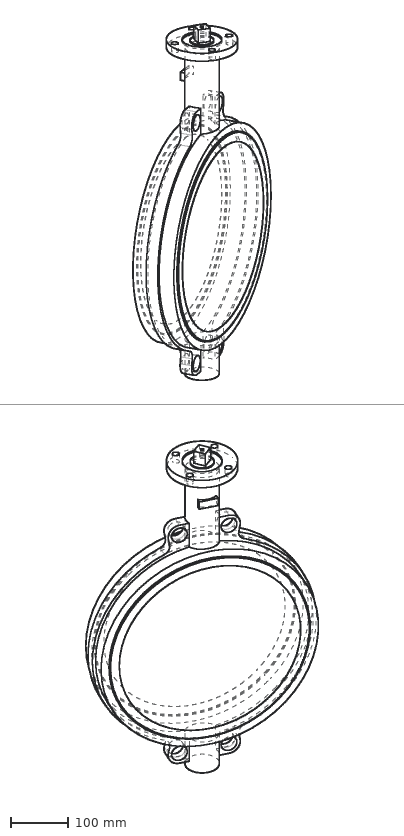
import math

import cadquery as cq

top_z = 391.5
overall_height = 659
bottom_z = top_z - overall_height

body_radius = 202.0
body_half_width = 39.5
rib_radius = 208.0
rib_width = 22.5

seat_radius = 185.0
seat_half_width = 41.0
groove_width = 2.0
groove_depth = 1.0
disc_radius = 169.0
disc_recess = 0.5

lug_hole_y = 46.0
lug_hole_z = 229.0
lug_hole_radius = 14.5
lug_radius = 21.0
lug_fillet = 16.0

neck_radius = 30.0
flange_radius = 62.5
flange_top_z = 368.0
flange_thickness = 15.0
bolt_circle_radius = 51.0
bolt_hole_radius = 6.0
bolt_count = 4
first_bolt_angle = 45
spigot_recess_radius = 35.0
spigot_recess_depth = 3.0

shaft_radius = 21.0
shaft_top_z = flange_top_z - 1.0
square_side = 22.5
square_turn = 45
centre_hole_radius = 2.5
centre_hole_depth = 3.0

pad_face_x = -33.5
pad_width = 35.0
pad_bottom_z = 290.5
pad_top_z = 306.0


def x_cylinder(radius, half_width):
    """Cylinder along X, centred on the origin."""
    return cq.Workplane("YZ").circle(radius).extrude(half_width, both=True)


def z_cylinder(radius, z_low, z_high):
    """Cylinder along the shaft axis between two heights."""
    return cq.Workplane("XY").workplane(offset=z_low).circle(radius).extrude(z_high - z_low)


def make_body():
    """Body with its middle rib, the seat liner and the slightly recessed disc."""
    body = x_cylinder(body_radius, body_half_width)
    body = body.union(x_cylinder(rib_radius, rib_width / 2))
    body = body.union(x_cylinder(seat_radius, seat_half_width))
    groove_half_width = body_half_width - groove_depth
    for side in (-1, 1):
        groove = (
            cq.Workplane("YZ", origin=(side * groove_half_width, 0, 0))
            .circle(seat_radius + groove_width)
            .circle(seat_radius)
            .extrude(side * groove_depth)
        )
        recess = (
            cq.Workplane("YZ", origin=(side * seat_half_width, 0, 0))
            .circle(disc_radius)
            .extrude(-side * disc_recess)
        )
        body = body.cut(groove).cut(recess)
    return body


def lug_outline():
    """One lug: flat top to the shaft axis, rounded end, radial flank filleted into the rib."""
    lean = math.atan2(lug_hole_y, lug_hole_z)
    hole_distance = math.hypot(lug_hole_y, lug_hole_z)

    def point(sideways, outward):
        """Point given along and across the radial line through the lug hole."""
        return (
            sideways * math.cos(lean) + outward * math.sin(lean),
            -sideways * math.sin(lean) + outward * math.cos(lean),
        )

    fillet_sideways = lug_radius + lug_fillet
    fillet_outward = math.sqrt((rib_radius + lug_fillet) ** 2 - fillet_sideways**2)
    rib_share = rib_radius / (rib_radius + lug_fillet)
    half_turn = math.atan2(fillet_outward, fillet_sideways) / 2
    fillet_middle = point(
        fillet_sideways - lug_fillet * math.cos(half_turn),
        fillet_outward - lug_fillet * math.sin(half_turn),
    )
    end_turn = (math.pi / 2 - lean) / 2
    end_middle = (
        lug_hole_y + lug_radius * math.cos(end_turn - lean),
        lug_hole_z + lug_radius * math.sin(end_turn - lean),
    )
    return (
        cq.Workplane("YZ")
        .lineTo(0, lug_hole_z + lug_radius)
        .lineTo(lug_hole_y, lug_hole_z + lug_radius)
        .threePointArc(end_middle, point(lug_radius, hole_distance))
        .lineTo(*point(lug_radius, fillet_outward))
        .threePointArc(fillet_middle, point(fillet_sideways * rib_share, fillet_outward * rib_share))
        .close()
    )


def make_lugs():
    """Four lugs, mirrored across both planes through the pipe axis, as wide as the rib."""
    lug = lug_outline().extrude(rib_width / 2, both=True)
    pair = lug.union(lug.mirror("XZ"))
    return pair.union(pair.mirror("XY"))


def make_lug_holes():
    centres = [(y, z) for y in (-lug_hole_y, lug_hole_y) for z in (-lug_hole_z, lug_hole_z)]
    return cq.Workplane("YZ").pushPoints(centres).circle(lug_hole_radius).extrude(rib_width, both=True)


def make_flange():
    """Actuator flange with its bolt holes and the spigot recess in its top face."""
    flange_bottom_z = flange_top_z - flange_thickness
    flange = z_cylinder(flange_radius, flange_bottom_z, flange_top_z)
    bolt_holes = (
        cq.Workplane("XY")
        .workplane(offset=flange_bottom_z)
        .polarArray(bolt_circle_radius, first_bolt_angle, 360, bolt_count)
        .circle(bolt_hole_radius)
        .extrude(flange_thickness)
    )
    spigot_recess = z_cylinder(spigot_recess_radius, flange_top_z - spigot_recess_depth, flange_top_z)
    return flange.cut(bolt_holes).cut(spigot_recess)


def make_shaft_end():
    """Round shaft shoulder and the square drive turned so its corners point along X and Y."""
    shoulder = z_cylinder(shaft_radius, flange_top_z - flange_thickness, shaft_top_z)
    square = (
        cq.Workplane("XY")
        .workplane(offset=shaft_top_z)
        .transformed(rotate=(0, 0, square_turn))
        .rect(square_side, square_side)
        .extrude(top_z - shaft_top_z)
    )
    centre_hole = z_cylinder(centre_hole_radius, top_z - centre_hole_depth, top_z)
    return shoulder.union(square).cut(centre_hole)


def make_pad():
    """Flat pad reaching from the neck axis out through the neck surface."""
    return cq.Workplane("XY").box(
        -pad_face_x, pad_width, pad_top_z - pad_bottom_z, centered=(False, True, False)
    ).translate((pad_face_x, 0, pad_bottom_z))


lower_stem = z_cylinder(neck_radius, bottom_z, 0)
neck = z_cylinder(neck_radius, 0, flange_top_z - flange_thickness)

result = (
    make_body()
    .union(make_lugs())
    .cut(make_lug_holes())
    .union(lower_stem)
    .union(neck)
    .union(make_pad())
    .union(make_flange())
    .union(make_shaft_end())
)